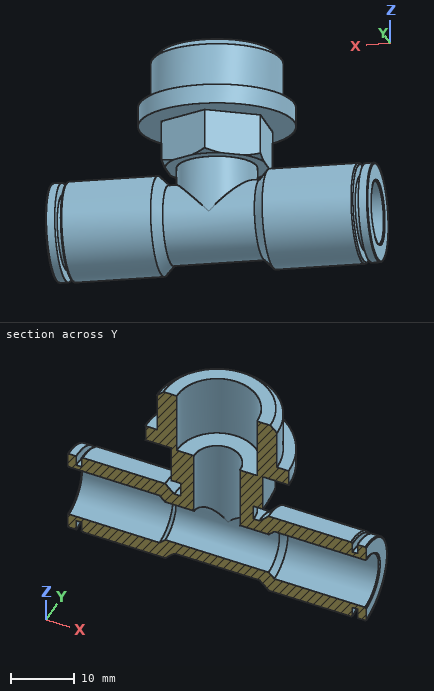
import cadquery as cq
import math


run_length = 52.0
pipe_dia = 12.8
pipe_half_length = 7.4
socket_dia = 16.0
socket_end_x = 23.6
socket_edge_chamfer = 0.25

collar_dia = 15.8
collar_neck_dia = 12.0
collar_thickness = 1.5
collar_edge_chamfer = 0.15

passage_dia = 8.0
tube_dia = 10.0
tube_bore_depth = 16.0
tube_mouth_chamfer = 0.2

branch_top_z = 27.5
thread_dia = 20.95
thread_length = 8.5
thread_chamfer = 1.17
flange_dia = 25.0
flange_thickness = 3.1
hex_across_flats = 16.0
hex_height = 6.9
hex_corner_inset = 1.0
hex_chamfer_angle = 30.0
branch_bore_dia = 13.97

half_run = run_length / 2
socket_step = (socket_dia - pipe_dia) / 2
flange_top_z = branch_top_z - thread_length
flange_bottom_z = flange_top_z - flange_thickness
hex_bottom_z = flange_bottom_z - hex_height
hex_across_corners = hex_across_flats / math.cos(math.radians(30))
branch_bore_depth = branch_top_z - flange_bottom_z


def z_cylinder(diameter, bottom_z, top_z):
    """Solid cylinder on the Z axis between two heights."""
    return cq.Workplane("XY").workplane(offset=bottom_z).circle(diameter / 2).extrude(top_z - bottom_z)


def revolve_run(half_outline):
    """Revolve about X the outline given by (x, radius) points on +X, mirrored to -X."""
    mirrored = [(-x, radius) for x, radius in reversed(half_outline)]
    outline = mirrored + half_outline
    return cq.Workplane("XY").polyline(outline).close().revolve(360, (0, 0, 0), (1, 0, 0))


def run_body():
    """Outside of the run: pipe, then cone, socket, neck and collar on each side."""
    pipe_r = pipe_dia / 2
    socket_r = socket_dia / 2
    neck_r = collar_neck_dia / 2
    collar_r = collar_dia / 2
    collar_x = half_run - collar_thickness
    return revolve_run([
        (pipe_half_length, pipe_r),
        (pipe_half_length + socket_step, socket_r),
        (socket_end_x - socket_edge_chamfer, socket_r),
        (socket_end_x, socket_r - socket_edge_chamfer),
        (socket_end_x, neck_r),
        (collar_x, neck_r),
        (collar_x, collar_r),
        (half_run - collar_edge_chamfer, collar_r),
        (half_run, collar_r - collar_edge_chamfer),
        (half_run, 0),
    ])


def run_bore():
    """Bore of the run: passage, then conical tube stop, tube bore and mouth on each side."""
    passage_r = passage_dia / 2
    tube_r = tube_dia / 2
    stop_x = half_run - tube_bore_depth
    return revolve_run([
        (stop_x - (tube_r - passage_r), passage_r),
        (stop_x, tube_r),
        (half_run - tube_mouth_chamfer, tube_r),
        (half_run, tube_r + tube_mouth_chamfer),
        (half_run, 0),
    ])


def hexagon():
    """Hexagon with two flats facing +X and -X and its lower corners turned off conically."""
    prism = (
        cq.Workplane("XY")
        .workplane(offset=hex_bottom_z)
        .polygon(6, hex_across_corners)
        .extrude(hex_height)
        .rotate((0, 0, 0), (0, 0, 1), 30)
    )
    corner_rise = hex_corner_inset * math.tan(math.radians(hex_chamfer_angle))
    turned_blank = (
        z_cylinder(hex_across_corners, hex_bottom_z, flange_bottom_z)
        .faces("<Z")
        .chamfer(corner_rise, hex_corner_inset)
    )
    return prism.intersect(turned_blank)


def branch_body():
    """Outside of the branch: pipe, hexagon, flange and thread cylinder."""
    pipe = z_cylinder(pipe_dia, 0, flange_bottom_z)
    flange = z_cylinder(flange_dia, flange_bottom_z, flange_top_z)
    thread = z_cylinder(thread_dia, flange_top_z, branch_top_z).faces(">Z").chamfer(thread_chamfer)
    return pipe.union(hexagon()).union(flange).union(thread)


def branch_bore():
    """Wide bore from the top, stepping down to the passage into the run."""
    wide_bore = z_cylinder(branch_bore_dia, branch_top_z - branch_bore_depth, branch_top_z)
    return wide_bore.union(z_cylinder(passage_dia, 0, branch_top_z))


body = run_body().union(branch_body())
result = body.cut(run_bore()).cut(branch_bore())